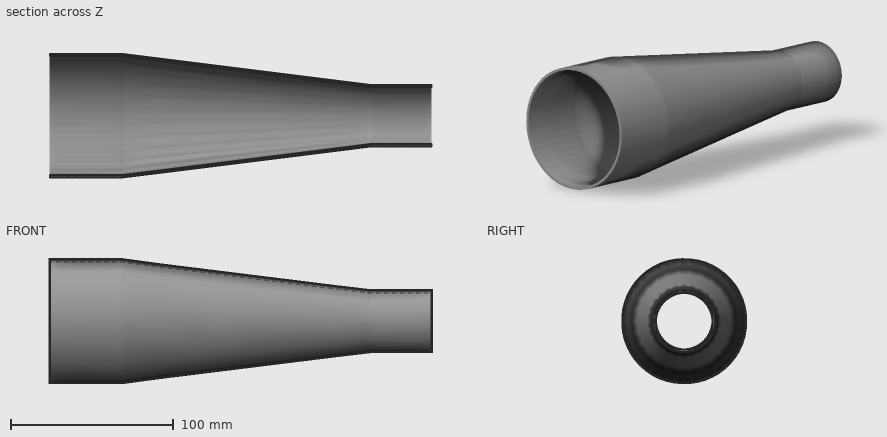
import cadquery as cq

large_outer_diameter = 76.2
small_outer_diameter = 38.1
wall_thickness = 1.65
large_end_length = 44.45
cone_length = 152.4
small_end_length = 38.1

cone_start = large_end_length
cone_end = cone_start + cone_length
total_length = cone_end + small_end_length


def reducer_body(large_radius, small_radius):
    """Solid of revolution about X: large cylinder, cone, small cylinder."""
    half_profile = (
        cq.Workplane("XY")
        .moveTo(0, 0)
        .lineTo(0, large_radius)
        .lineTo(cone_start, large_radius)
        .lineTo(cone_end, small_radius)
        .lineTo(total_length, small_radius)
        .lineTo(total_length, 0)
        .close()
    )
    return half_profile.revolve(360, (0, 0, 0), (1, 0, 0))


large_outer_radius = large_outer_diameter / 2
small_outer_radius = small_outer_diameter / 2

outer_body = reducer_body(large_outer_radius, small_outer_radius)
bore = reducer_body(large_outer_radius - wall_thickness, small_outer_radius - wall_thickness)

result = outer_body.cut(bore)